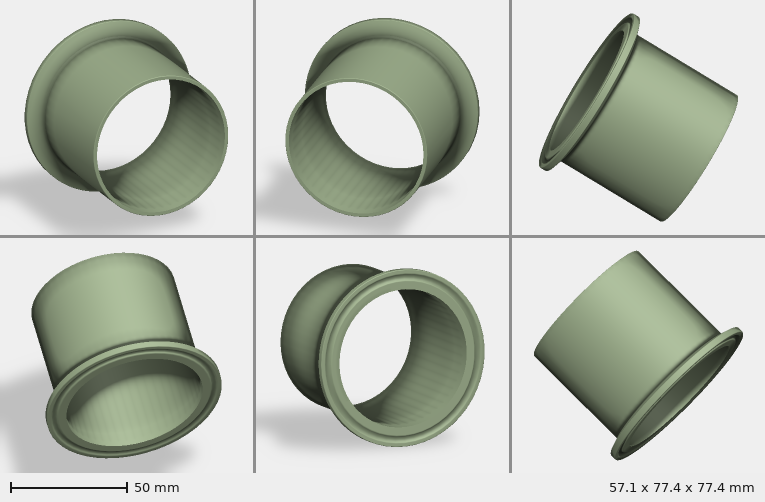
import cadquery as cq
import math


length = 57.1
bore_radius = 60.2 / 2
tube_radius = 63.5 / 2
tube_end_round = 0.3

flange_radius = 77.4 / 2
rim_width = 2.9
back_angle = math.radians(20)
rim_edge_round = 0.3
neck_fillet = 1.15
neck_x = rim_width + (flange_radius - tube_radius) * math.tan(back_angle)

groove_inner_radius = 33.5
groove_arc_radius = 1.4
lip_arc_radius = 0.7
inner_wall_angle = math.radians(60)
outer_wall_angle = math.radians(50)


def make_body():
    """Revolve the ferrule's section, with sharp corners, about the X axis."""
    return (
        cq.Workplane("XY")
        .moveTo(0, bore_radius)
        .lineTo(0, flange_radius)
        .lineTo(rim_width, flange_radius)
        .lineTo(neck_x, tube_radius)
        .lineTo(length, tube_radius)
        .lineTo(length, bore_radius)
        .close()
        .revolve(360, (0, 0, 0), (1, 0, 0))
    )


def circular_edge(x, radius):
    """Select the circular edge of the given radius around the X axis at position x."""
    reach = 0.1

    def box(box_radius):
        return cq.selectors.BoxSelector(
            (x - reach, -box_radius, -box_radius),
            (x + reach, box_radius, box_radius),
            boundingbox=True,
        )

    return box(radius + reach) - box(radius - reach)


def round_outer_edges(body):
    """Round the inside corner at the neck, the rim's two edges and the outer tube end."""
    return (
        body.edges(circular_edge(neck_x, tube_radius))
        .fillet(neck_fillet)
        .edges(circular_edge(0, flange_radius) + circular_edge(rim_width, flange_radius))
        .fillet(rim_edge_round)
        .edges(circular_edge(length, tube_radius))
        .fillet(tube_end_round)
    )


def make_groove():
    """Build the ring to remove: lips start flush with the face and run smoothly into the valley."""
    arc_sum = lip_arc_radius + groove_arc_radius
    depth = arc_sum * (1 - math.cos(inner_wall_angle))
    valley_radius = groove_inner_radius + arc_sum * math.sin(inner_wall_angle)

    cone_depth = depth - arc_sum * (1 - math.cos(outer_wall_angle))
    cone_width = cone_depth / math.tan(outer_wall_angle)
    groove_outer_radius = valley_radius + arc_sum * math.sin(outer_wall_angle) + cone_width

    def inner_lip(angle):
        return (
            lip_arc_radius * (1 - math.cos(angle)),
            groove_inner_radius + lip_arc_radius * math.sin(angle),
        )

    def outer_lip(angle):
        return (
            lip_arc_radius * (1 - math.cos(angle)),
            groove_outer_radius - lip_arc_radius * math.sin(angle),
        )

    valley_end = (
        depth - groove_arc_radius * (1 - math.cos(outer_wall_angle)),
        valley_radius + groove_arc_radius * math.sin(outer_wall_angle),
    )
    return (
        cq.Workplane("XY")
        .moveTo(0, groove_inner_radius)
        .threePointArc(inner_lip(inner_wall_angle / 2), inner_lip(inner_wall_angle))
        .threePointArc((depth, valley_radius), valley_end)
        .lineTo(*outer_lip(outer_wall_angle))
        .threePointArc(outer_lip(outer_wall_angle / 2), (0, groove_outer_radius))
        .close()
        .revolve(360, (0, 0, 0), (1, 0, 0))
    )


result = round_outer_edges(make_body()).cut(make_groove())